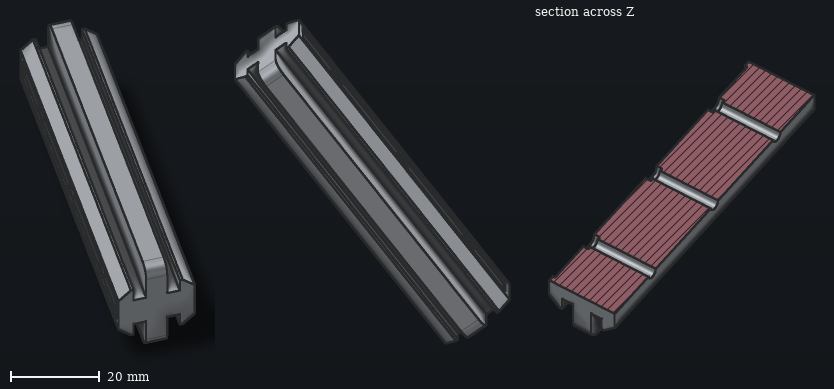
import cadquery as cq

length = 80.0
width = 18.0
height = 26.0

web_thickness = 5.0
web_corner_radius = 3.0

core_height = 8.0

rail_inner_offset = 5.4
rail_tip_width = 0.6
rail_height = 14.9
rail_face_height = 9.4

recess_margin = 1.5
recess_height = 6.1
recess_depth = 0.6
recess_corner_radius = 0.7

hole_count = 3
hole_pitch = 25.0
hole_diameter = 2.8
counterbore_diameter = 4.3
counterbore_depth = 1.4


def make_web():
    web = cq.Workplane("XY").box(length, web_thickness, height)
    return web.edges("|Y").fillet(web_corner_radius)


def make_core():
    return cq.Workplane("XY").box(length, 2 * rail_inner_offset, core_height)


def make_rear_rail():
    tip_offset = rail_inner_offset + rail_tip_width
    profile = [
        (rail_inner_offset, -rail_height / 2),
        (tip_offset, -rail_height / 2),
        (width / 2, -rail_face_height / 2),
        (width / 2, rail_face_height / 2),
        (tip_offset, rail_height / 2),
        (rail_inner_offset, rail_height / 2),
    ]
    return cq.Workplane("YZ").polyline(profile).close().extrude(length / 2, both=True)


def make_recess():
    recess = cq.Workplane("XY").box(length - 2 * recess_margin, recess_depth, recess_height)
    recess = recess.edges("|Y").fillet(recess_corner_radius)
    return recess.translate((0, (recess_depth - width) / 2, 0))


rear_rail = make_rear_rail()
front_rail = rear_rail.mirror("XZ")
body = make_web().union(make_core()).union(rear_rail).union(front_rail)
body = body.cut(make_recess())

recess_floor = cq.Workplane("XZ", origin=(0, recess_depth - width / 2, 0))
hole_centres = recess_floor.rarray(hole_pitch, 0.8, hole_count, 1)
holes = hole_centres.circle(hole_diameter / 2).extrude(-width)
counterbores = hole_centres.circle(counterbore_diameter / 2).extrude(-counterbore_depth)

result = body.cut(holes).cut(counterbores)